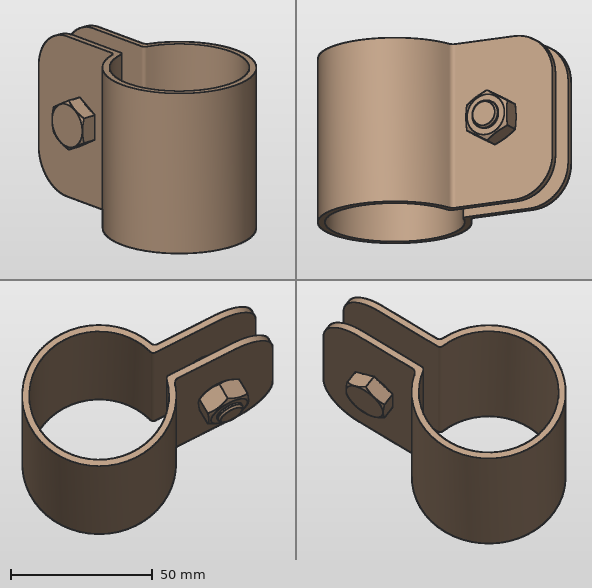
import cadquery as cq
import math

overall_length = 92.9
clamp_height = 60.0
ring_diameter = 54.35
strip_thickness = 2.5
ear_gap = 9.9
outer_bend_radius = 1.95
inner_bend_radius = 1.4
ear_corner_radius = 15.0

bolt_diameter = 10.0
bolt_inset = 22.1
bolt_tip_length = 10.0
tip_chamfer_length = 0.9
tip_chamfer_depth = 0.65
across_flats = 16.0
head_height = 6.4
washer_face_height = 0.5
washer_face_diameter = 14.7
head_face_diameter = 15.8
nut_height = 8.4
nut_face_diameter = 14.7
corner_chamfer_angle = 30.0

ring_radius = ring_diameter / 2
ear_end_x = ring_radius - overall_length
bolt_x = ear_end_x + bolt_inset
ear_outer_y = ear_gap / 2 + strip_thickness
across_corners = across_flats / math.cos(math.pi / 6)
bolt_radius = bolt_diameter / 2


def keyhole(radius, half_width, bend_radius):
    """Upright cylinder joined to a straight-sided block that ends at the ear tips."""
    cylinder = cq.Workplane("XY").circle(radius).extrude(clamp_height)
    block = (
        cq.Workplane("XY")
        .center(ear_end_x / 2, 0)
        .rect(-ear_end_x, 2 * half_width)
        .extrude(clamp_height)
    )
    joint_x = -math.sqrt(radius**2 - half_width**2)
    margin = strip_thickness / 2
    joints = cq.selectors.BoxSelector(
        (joint_x - margin, -half_width - margin, 0),
        (joint_x + margin, half_width + margin, clamp_height),
    )
    solid = cylinder.union(block).edges("|Z").edges(joints).fillet(bend_radius)
    return solid.translate((0, 0, -clamp_height / 2))


def bolt_axis_plane(y):
    """Workplane on the bolt axis at the given Y, facing +Y."""
    return cq.Workplane(cq.Plane((bolt_x, y, 0), xDir=(0, 0, 1), normal=(0, 1, 0)))


def make_clamp():
    outside = keyhole(ring_radius, ear_outer_y, outer_bend_radius)
    inside = keyhole(ring_radius - strip_thickness, ear_gap / 2, inner_bend_radius)
    outside = outside.faces("<X").edges("|Y").fillet(ear_corner_radius)
    bolt_hole = bolt_axis_plane(-ear_outer_y).circle(bolt_radius).extrude(2 * ear_outer_y)
    return outside.cut(inside).cut(bolt_hole)


def hexagon(y, height):
    """Hexagonal prism with one pair of corners on the Z direction."""
    return bolt_axis_plane(y).polygon(6, across_corners).extrude(height)


def corner_cone(y, height, face_diameter, direction):
    """Cone frustum that trims hexagon corners; narrow face at y, widening along direction."""
    face_radius = face_diameter / 2
    slope = math.tan(math.radians(corner_chamfer_angle))
    far_radius = face_radius + height / slope
    return cq.Workplane(
        cq.Solid.makeCone(
            face_radius, far_radius, height, cq.Vector(bolt_x, y, 0), cq.Vector(0, direction, 0)
        )
    )


def make_bolt():
    head_bottom = -ear_outer_y - head_height
    hex_height = head_height - washer_face_height
    head = hexagon(head_bottom, hex_height).intersect(
        corner_cone(head_bottom, hex_height, head_face_diameter, 1)
    )
    washer_face = (
        bolt_axis_plane(-ear_outer_y - washer_face_height)
        .circle(washer_face_diameter / 2)
        .extrude(washer_face_height)
    )
    shank = (
        bolt_axis_plane(-ear_outer_y)
        .circle(bolt_radius)
        .extrude(2 * ear_outer_y + bolt_tip_length)
        .faces(">Y")
        .chamfer(tip_chamfer_length, tip_chamfer_depth)
    )
    return head.union(washer_face).union(shank)


def make_nut():
    nut_top = ear_outer_y + nut_height
    bolt_hole = bolt_axis_plane(ear_outer_y).circle(bolt_radius).extrude(nut_height)
    return (
        hexagon(ear_outer_y, nut_height)
        .intersect(corner_cone(ear_outer_y, nut_height, nut_face_diameter, 1))
        .intersect(corner_cone(nut_top, nut_height, nut_face_diameter, -1))
        .cut(bolt_hole)
    )


clamp = make_clamp()
bolt = make_bolt()
nut = make_nut()

result = cq.Compound.makeCompound([clamp.solids().val(), bolt.solids().val(), nut.solids().val()])